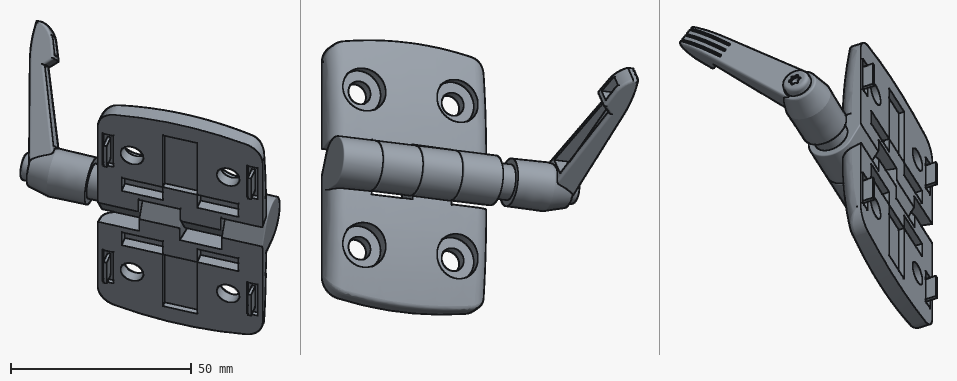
import cadquery as cq
import math


axis_y = 9.0
barrel_radius = 7.0
knuckle_pitch = 12.0
knuckle_gap = 0.2
knuckle_edge_radius = 0.35
knuckle_base_z = 1.4

leaf_width = 4 * knuckle_pitch
half_width = leaf_width / 2
leaf_end_z = 38.5
leaf_end_arc_radius = 105.0
leaf_corner_radius = 6.0
leaf_peak_y = 7.9
leaf_peak_z = 8.0
crown_radius_long = 165.0
crown_radius_cross = 250.0
crown_sweep = 17.0
crown_lead = 5.0
leaf_shoulder_radius = 4.4
leaf_end_edge_radius = 1.3

clearance_z = 6.0
clearance_slope = 0.247

hole_x = 14.0
hole_z = 22.5
hole_diameter = 6.6
hole_floor_y = 3.4
counterbore_diameter = 12.6
pocket_width = 10.0
pocket_z = (13.0, 33.0)
pocket_depth = 1.6
slot_end_x = 17.0
slot_z = (8.0, 13.0)
slot_depth = 3.0
tab_x = 21.0
recess_size = (3.15, 12.0)
recess_depth = 1.2
tab_size = (0.95, 8.0)
tab_height = 2.55

collar_radius = 5.0
collar_length = 4.5

lever_angle = 40.0
hub_start_x = -half_width - collar_length
hub_barrel_length = 11.0
hub_length = 17.5
hub_shoulder_x = hub_start_x - hub_barrel_length
hub_end_x = hub_start_x - hub_length
hub_start_radius = 6.7
hub_shoulder_radius = 6.85
hub_end_radius = 5.2
hub_edge_radius = 0.6
arm_length = 39.97
arm_root_half_width = 5.05
arm_tip_half_width = 3.4
arm_edge_radius = 0.75
grip_start = 28.0
arm_outer_slope = 0.246
grip_back_x = -54.0
grip_arc_middle = (-53.88, 34.0)
grip_hook = (-46.3, 30.6)
grip_notch = (-48.7, 28.3)
grip_front_bulge = (-50.0, 38.4)
grip_front_bend = (-48.3, 36.0)
grip_tip_outer_x = -53.85
grip_tip_x = -52.2
arm_foot = (-40.2, 5.5)
channel_rim = 1.5
channel_wall = 2.3
arm_channel_range = (7.0, 28.5)
grip_channel_range = (31.8, 37.0)
groove_spacing = 2.1
groove_width = 0.6
groove_depth = 0.25
groove_start = 25.5
groove_overrun = 1.0

screw_radius = 3.95
screw_seat_radius = 4.15
seat_length = 4.0
screw_head_height = 2.45
screw_face_x = hub_end_x - screw_head_height
screw_edge_radius = 1.1
lobe_count = 6
lobe_pitch_radius = 1.35
lobe_radius = 0.4
lobe_depth = 0.6
drive_radius = 1.2
drive_depth = 1.2


def box_between(x_range, y_range, z_range):
    """Box given by its limits along the three axes."""
    size = [high - low for low, high in (x_range, y_range, z_range)]
    corner = (x_range[0], y_range[0], z_range[0])
    return cq.Workplane("XY").box(*size, centered=False).translate(corner)


def along_y(center, diameter, y_range):
    """Cylinder along Y through the point (x, z)."""
    bar = cq.Workplane("XZ").center(*center).circle(diameter / 2).extrude(-(y_range[1] - y_range[0]))
    return bar.translate((0, y_range[0], 0))


def leaf_outline():
    """Plate with a bowed end and rounded corners, as thick as the whole leaf."""
    sag = leaf_end_arc_radius - math.sqrt(leaf_end_arc_radius**2 - half_width**2)
    return (
        cq.Workplane("XZ")
        .moveTo(-half_width, 0)
        .lineTo(half_width, 0)
        .lineTo(half_width, leaf_end_z - sag)
        .threePointArc((0, leaf_end_z), (-half_width, leaf_end_z - sag))
        .close()
        .extrude(-axis_y)
        .edges("|Y")
        .edges(">Z")
        .fillet(leaf_corner_radius)
    )


def leaf_crown():
    """Crowned cross-section with round shoulders, swept along the long crown arc."""
    sag = crown_radius_cross - math.sqrt(crown_radius_cross**2 - half_width**2)
    base_y = -leaf_peak_y
    section = (
        cq.Sketch()
        .segment((-half_width, base_y), (half_width, base_y))
        .segment((half_width, leaf_peak_y - sag))
        .arc((0, leaf_peak_y), (-half_width, leaf_peak_y - sag))
        .close()
        .assemble()
        .vertices(">Y")
        .fillet(leaf_shoulder_radius)
    )
    center_y = leaf_peak_y - crown_radius_long
    axis = ((0, center_y, 0), (1, center_y, 0))
    return (
        cq.Workplane("XY")
        .placeSketch(section)
        .revolve(crown_sweep, *axis)
        .rotate(*axis, -crown_lead)
        .translate((0, 0, leaf_peak_z))
    )


def leaf_plate():
    """Crowned plate from the knuckle webs to the bowed end."""
    above_webs = box_between((-half_width, half_width), (0, axis_y), (clearance_z, leaf_end_z))
    plate = leaf_outline().intersect(leaf_crown()).intersect(above_webs)
    return plate.faces(">Z").edges(">Y").fillet(leaf_end_edge_radius)


def knuckle(x_start, x_end):
    """Barrel with a web that reaches up to the plate and a flank tangent to the barrel."""
    foot_distance = math.hypot(axis_y, knuckle_base_z)
    tangent_length = math.sqrt(foot_distance**2 - barrel_radius**2)
    flank_angle = math.asin(barrel_radius / foot_distance) + math.atan(knuckle_base_z / axis_y)
    tangent_point = (
        tangent_length * math.cos(flank_angle),
        knuckle_base_z - tangent_length * math.sin(flank_angle),
    )
    barrel_back = (axis_y + barrel_radius, 0)
    return (
        cq.Workplane("YZ")
        .moveTo(0, barrel_radius)
        .lineTo(0, knuckle_base_z)
        .lineTo(*tangent_point)
        .threePointArc(barrel_back, (axis_y, barrel_radius))
        .close()
        .extrude(x_end - x_start)
        .faces("|X")
        .edges("not(|Y or |Z)")
        .fillet(knuckle_edge_radius)
        .translate((x_start, 0, 0))
    )


def knuckle_clearance(x_start, x_end):
    """Wedge of space for a knuckle of the other leaf."""
    depth = 2 * axis_y
    return (
        cq.Workplane("YZ")
        .polyline([
            (0, 0),
            (0, clearance_z),
            (depth, clearance_z + clearance_slope * depth),
            (depth, 0),
        ])
        .close()
        .extrude(x_end - x_start)
        .translate((x_start, 0, 0))
    )


def tab_block(x, size, y_range):
    """Block centred at x and at the height of the screw holes."""
    half_x, half_z = size[0] / 2, size[1] / 2
    return box_between((x - half_x, x + half_x), y_range, (hole_z - half_z, hole_z + half_z))


def make_leaf():
    """Upper leaf, with its knuckles at the -X end and just right of the middle."""
    leaf = leaf_plate()
    half_gap = knuckle_gap / 2
    for start in (-half_width, 0):
        middle = start + knuckle_pitch
        end = middle + knuckle_pitch
        near = start + (half_gap if start > -half_width else 0)
        far = end if end == half_width else end + half_gap
        leaf = leaf.cut(knuckle_clearance(middle - half_gap, far))
        leaf = leaf.union(knuckle(near, middle - half_gap))

    end_face = leaf.faces(cq.selectors.BoxSelector(
        (half_width - half_gap, 0, 0),
        (half_width + half_gap, axis_y, leaf_end_z),
    ))
    leaf = end_face.edges("<Z").fillet(knuckle_edge_radius)

    for side in (-1, 1):
        leaf = leaf.cut(along_y((side * hole_x, hole_z), hole_diameter, (0, axis_y)))
        leaf = leaf.cut(along_y((side * hole_x, hole_z), counterbore_diameter, (hole_floor_y, axis_y)))
        slot_x = sorted((side * pocket_width / 2, side * slot_end_x))
        leaf = leaf.cut(box_between(slot_x, (0, slot_depth), slot_z))
        x = side * tab_x
        leaf = leaf.cut(tab_block(x, recess_size, (0, recess_depth)))
        leaf = leaf.union(tab_block(x, tab_size, (-tab_height, recess_depth)))

    half_pocket = pocket_width / 2
    return leaf.cut(box_between((-half_pocket, half_pocket), (0, pocket_depth), pocket_z))


def axis_cylinder(x_start, radius, length):
    """Cylinder on the hinge axis."""
    return cq.Workplane("YZ").center(axis_y, 0).circle(radius).extrude(length).translate((x_start, 0, 0))


def make_collar():
    """Plain collar between the lever and the first knuckle."""
    return axis_cylinder(hub_start_x, collar_radius, collar_length)


def lever_hub():
    """Turned hub with its axis on local X."""
    return (
        cq.Workplane("XY")
        .polyline([
            (hub_start_x, 0),
            (hub_start_x, hub_start_radius),
            (hub_shoulder_x, hub_shoulder_radius),
            (hub_end_x, hub_end_radius),
            (hub_end_x, 0),
        ])
        .close()
        .revolve(360, (0, 0, 0), (1, 0, 0))
        .faces("<X")
        .edges()
        .fillet(hub_edge_radius)
    )


def arm_half_width(along):
    """Half the width of the arm at a distance along it."""
    return arm_root_half_width + (arm_tip_half_width - arm_root_half_width) * along / arm_length


def arm_plan(along_range, inset):
    """Tapered outline of the arm, or of a stretch inset from its sides."""
    start, end = along_range
    start_half_width = arm_half_width(start) - inset
    end_half_width = arm_half_width(end) - inset
    return (
        cq.Workplane("YZ")
        .polyline([
            (start, -start_half_width),
            (end, -end_half_width),
            (end, end_half_width),
            (start, start_half_width),
        ])
        .close()
    )


def arm_channel(along_range):
    """Stretch of the channel sunk into the inner face of the arm and the grip."""
    start, end = arm_channel_range[0], grip_channel_range[1]
    floor_start_x = hub_end_x - arm_outer_slope * start + channel_wall
    floor_bend_x = hub_end_x - arm_outer_slope * grip_start + channel_wall
    side_profile = (
        cq.Workplane("XY")
        .polyline([
            (hub_shoulder_x, start),
            (floor_start_x, start),
            (floor_bend_x, grip_start),
            (grip_arc_middle[0] + channel_wall, end),
            (hub_shoulder_x, end),
        ])
        .close()
        .extrude(hub_shoulder_radius, both=True)
    )
    return side_profile.intersect(arm_plan(along_range, channel_rim).extrude(2 * grip_back_x))


def grip_outer_arc():
    """Three points of the arc that forms the outer face of the grip."""
    arc_start = (hub_end_x - arm_outer_slope * grip_start, grip_start)
    return arc_start, grip_arc_middle, (grip_tip_outer_x, arm_length)


def lever_arm():
    """Arm along local +Y: side profile with a hooked grip, tapered in width."""
    arc_start, arc_middle, arc_end = grip_outer_arc()
    side_profile = (
        cq.Workplane("XY")
        .moveTo(hub_end_x, 0)
        .lineTo(*arc_start)
        .threePointArc(arc_middle, arc_end)
        .lineTo(grip_tip_x, arm_length)
        .threePointArc(grip_front_bulge, grip_front_bend)
        .lineTo(*grip_hook)
        .lineTo(*grip_notch)
        .lineTo(*arm_foot)
        .lineTo(hub_shoulder_x, 0)
        .close()
        .extrude(hub_shoulder_radius, both=True)
    )
    plan = arm_plan((0, arm_length), 0).extrude(2 * grip_back_x)
    arm = side_profile.intersect(plan)
    arm = arm.faces(">Z or <Z").edges("not <Y").fillet(arm_edge_radius)
    return arm.cut(arm_channel(arm_channel_range)).cut(arm_channel(grip_channel_range))


def grip_groove(v):
    """Shallow groove that follows the outer face of the arm, centred at local z = v."""
    arc_start, arc_middle, arc_end = grip_outer_arc()
    groove_foot = (hub_end_x - arm_outer_slope * groove_start, groove_start)
    return (
        cq.Workplane("XY")
        .moveTo(groove_foot[0] + groove_depth, groove_foot[1])
        .lineTo(arc_start[0] + groove_depth, arc_start[1])
        .threePointArc(
            (arc_middle[0] + groove_depth, arc_middle[1]),
            (arc_end[0] + groove_depth, arc_end[1] + groove_overrun),
        )
        .lineTo(2 * grip_back_x, arm_length + groove_overrun)
        .lineTo(2 * grip_back_x, groove_start)
        .close()
        .extrude(groove_width / 2, both=True)
        .translate((0, 0, v))
    )


def make_lever():
    """Hub and arm in one piece, with grip grooves and a round seat for the screw head."""
    lever = lever_hub().union(lever_arm())
    for step in (-1, 0, 1):
        lever = lever.cut(grip_groove(step * groove_spacing))
    lever = lever.rotate((0, 0, 0), (1, 0, 0), lever_angle).translate((0, axis_y, 0))
    seat = axis_cylinder(hub_end_x - seat_length, screw_seat_radius, seat_length)
    return lever.cut(seat)


def drive_lobes():
    """Ring of round lobes sunk into the face of the screw."""
    return (
        cq.Workplane("YZ")
        .center(axis_y, 0)
        .polarArray(lobe_pitch_radius, 0, 360, lobe_count)
        .circle(lobe_radius)
        .extrude(lobe_depth)
        .translate((screw_face_x, 0, 0))
    )


def make_screw():
    """Cap screw head with a six-lobed drive that ends in a cone."""
    head = axis_cylinder(screw_face_x, screw_radius, screw_head_height)
    head = head.faces("<X").edges().fillet(screw_edge_radius)
    head = head.cut(drive_lobes())
    head = head.cut(axis_cylinder(screw_face_x, lobe_pitch_radius, lobe_depth))
    cone_base = cq.Vector(screw_face_x + lobe_depth, axis_y, 0)
    drive_tip = cq.Solid.makeCone(drive_radius, 0, drive_depth, cone_base, cq.Vector(1, 0, 0))
    return head.cut(cq.Workplane(drive_tip))


upper_leaf = make_leaf()
lower_leaf = upper_leaf.rotate((0, 0, 0), (0, 1, 0), 180)
collar = make_collar()
lever = make_lever()
screw = make_screw()

result = cq.Compound.makeCompound([
    upper_leaf.val(), lower_leaf.val(), collar.val(), lever.val(), screw.val(),
])